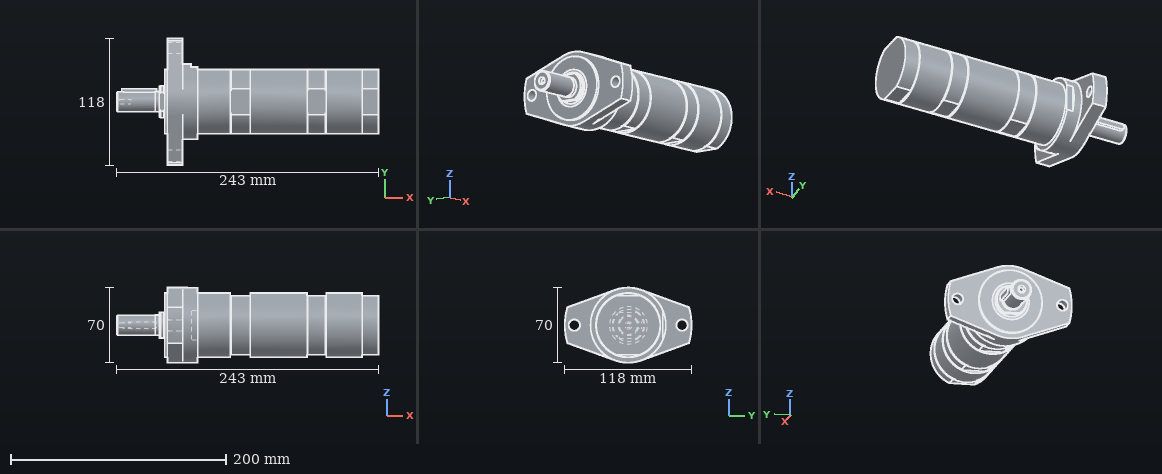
import cadquery as cq
import math

SEAL_SEAT_X = 35.9
COLLAR_X = 39.6
SPIGOT_X = 44.3
FLANGE_X = 47.0
HUB_X = 61.0
HUB_NOTCH_X = 69.0
BODY_X = 75.0
OVERALL_LENGTH = 243.0

SHAFT_DIAMETER = 18.8
SEAL_SEAT_DIAMETER = 19.0
SHAFT_CHAMFER = 1.0
CENTER_MOUTH_DIAMETER = 6.8
CENTER_HOLE_DIAMETER = 4.13
CENTER_HOLE_DEPTH = 12.5
COUNTERSINK_ANGLE_DEG = 60.0
DRILL_POINT_ANGLE_DEG = 118.0

KEY_START_X = 4.5
KEY_END_X = 37.0
KEY_WIDTH = 6.0
KEY_HEIGHT = 6.0
KEY_TOP_Y = 12.0

COLLAR_DIAMETER = 29.95
COLLAR_CHAMFER_LENGTH = 1.4
COLLAR_CHAMFER_DEPTH = 0.8
COLLAR_FLAT_Z = 12.1
COLLAR_GROOVE_WIDTH = 0.7
COLLAR_GROOVE_DEPTH = 0.5
RECESS_DIAMETER = 35.0
RECESS_DEPTH = 0.2

HUB_RADIUS = 35.0
FLANGE_END_RADIUS = 59.0
FLANGE_TAPER_DEG = 20.0
BOLT_OFFSET = 50.0
BOLT_HOLE_DIAMETER = 10.3
HUB_NOTCH_Y = 32.2

BODY_DIAMETER = 60.0
FLAT_Z = 27.5
FLAT_SPANS = [(105.5, 123.7), (176.7, 194.3), (227.7, OVERALL_LENGTH)]
GROOVE_DEPTH = 0.5
GROOVE_WIDTH = 0.7
NARROW_GROOVE_WIDTH = 0.3
GROOVES = [
    (FLAT_SPANS[0][0], GROOVE_WIDTH),
    (FLAT_SPANS[0][1], NARROW_GROOVE_WIDTH),
    (FLAT_SPANS[1][0], GROOVE_WIDTH),
    (FLAT_SPANS[1][1] - GROOVE_WIDTH, GROOVE_WIDTH),
    (FLAT_SPANS[2][0], NARROW_GROOVE_WIDTH),
]


def x_cylinder(diameter, start, end):
    """Cylinder on the X axis between two stations."""
    return cq.Workplane("YZ", origin=(start, 0, 0)).circle(diameter / 2).extrude(end - start)


def flat_cutters(start, end, height, diameter):
    """Two blocks that cut flats at Z = +height and Z = -height."""
    depth = diameter / 2
    blocks = cq.Workplane("XY")
    for side in (1, -1):
        center = ((start + end) / 2, 0, side * (height + depth / 2))
        blocks = blocks.union(cq.Workplane("XY", origin=center).box(end - start, 2 * diameter, depth))
    return blocks


def ring(diameter, depth, start, width):
    """Ring that cuts a groove of the given depth into a cylinder."""
    outer = x_cylinder(diameter + 2 * depth, start, start + width)
    return outer.cut(x_cylinder(diameter - 2 * depth, start, start + width))


def make_shaft():
    straight = x_cylinder(SHAFT_DIAMETER, 0, SEAL_SEAT_X).faces("<X").chamfer(SHAFT_CHAMFER)
    return straight.union(x_cylinder(SEAL_SEAT_DIAMETER, SEAL_SEAT_X, COLLAR_X))


def make_key():
    length = KEY_END_X - KEY_START_X
    middle = (KEY_START_X + KEY_END_X) / 2
    base = cq.Workplane("XZ", origin=(middle, KEY_TOP_Y, 0))
    return base.slot2D(length, KEY_WIDTH).extrude(KEY_HEIGHT)


def make_center_hole():
    """Blind hole in the shaft end with a countersunk mouth and a drill point."""
    mouth = CENTER_MOUTH_DIAMETER / 2
    bore = CENTER_HOLE_DIAMETER / 2
    countersink_depth = (mouth - bore) / math.tan(math.radians(COUNTERSINK_ANGLE_DEG / 2))
    tip_depth = bore / math.tan(math.radians(DRILL_POINT_ANGLE_DEG / 2))
    profile = (
        cq.Workplane("XY")
        .polyline([
            (0, 0),
            (0, mouth),
            (countersink_depth, bore),
            (CENTER_HOLE_DEPTH, bore),
            (CENTER_HOLE_DEPTH + tip_depth, 0),
        ])
        .close()
    )
    return profile.revolve(360, (0, 0, 0), (1, 0, 0))


def make_collar():
    front_cone = (
        cq.Workplane("YZ", origin=(COLLAR_X + COLLAR_CHAMFER_LENGTH, 0, 0))
        .circle(COLLAR_DIAMETER / 2)
        .workplane(offset=-COLLAR_CHAMFER_LENGTH)
        .circle(COLLAR_DIAMETER / 2 - COLLAR_CHAMFER_DEPTH)
        .loft()
    )
    collar = x_cylinder(COLLAR_DIAMETER, COLLAR_X + COLLAR_CHAMFER_LENGTH, FLANGE_X).union(front_cone)
    groove_start = SPIGOT_X - COLLAR_GROOVE_WIDTH
    collar = collar.cut(ring(COLLAR_DIAMETER, COLLAR_GROOVE_DEPTH, groove_start, COLLAR_GROOVE_WIDTH))
    return collar.cut(flat_cutters(COLLAR_X, SPIGOT_X, COLLAR_FLAT_Z, COLLAR_DIAMETER))


def make_spigot():
    spigot = x_cylinder(BODY_DIAMETER, SPIGOT_X, FLANGE_X)
    return spigot.cut(x_cylinder(RECESS_DIAMETER, SPIGOT_X, SPIGOT_X + RECESS_DEPTH))


def flange_corner():
    """Point where a tapered side, tangent to the hub, meets the rounded end of the plate."""
    taper = math.radians(FLANGE_TAPER_DEG)
    corner_angle = math.pi / 2 - taper - math.acos(HUB_RADIUS / FLANGE_END_RADIUS)
    return FLANGE_END_RADIUS * math.cos(corner_angle), FLANGE_END_RADIUS * math.sin(corner_angle)


def make_ear_plate():
    """Plate with sides tangent to the hub, rounded ends and two bolt holes."""
    taper = math.radians(FLANGE_TAPER_DEG)
    tangent_y = HUB_RADIUS * math.sin(taper)
    tangent_z = HUB_RADIUS * math.cos(taper)
    corner_y, corner_z = flange_corner()
    outline = (
        cq.Workplane("YZ", origin=(FLANGE_X, 0, 0))
        .moveTo(-tangent_y, tangent_z)
        .lineTo(tangent_y, tangent_z)
        .lineTo(corner_y, corner_z)
        .threePointArc((FLANGE_END_RADIUS, 0), (corner_y, -corner_z))
        .lineTo(tangent_y, -tangent_z)
        .lineTo(-tangent_y, -tangent_z)
        .lineTo(-corner_y, -corner_z)
        .threePointArc((-FLANGE_END_RADIUS, 0), (-corner_y, corner_z))
        .close()
    )
    plate = outline.extrude(HUB_X - FLANGE_X)
    holes = (
        cq.Workplane("YZ", origin=(FLANGE_X, 0, 0))
        .pushPoints([(-BOLT_OFFSET, 0), (BOLT_OFFSET, 0)])
        .circle(BOLT_HOLE_DIAMETER / 2)
        .extrude(HUB_X - FLANGE_X)
    )
    return plate.cut(holes)


def make_flange():
    """Round hub with two bolt ears and a flat on the rear of its +Y side."""
    hub = x_cylinder(2 * HUB_RADIUS, FLANGE_X, BODY_X)
    center = ((HUB_NOTCH_X + BODY_X) / 2, HUB_NOTCH_Y + HUB_RADIUS / 2, 0)
    notch = cq.Workplane("XY", origin=center).box(BODY_X - HUB_NOTCH_X, HUB_RADIUS, 2 * HUB_RADIUS)
    return hub.cut(notch).union(make_ear_plate()).clean()


def make_body():
    body = x_cylinder(BODY_DIAMETER, BODY_X, OVERALL_LENGTH)
    for start, end in FLAT_SPANS:
        body = body.cut(flat_cutters(start, end, FLAT_Z, BODY_DIAMETER))
    for start, width in GROOVES:
        body = body.cut(ring(BODY_DIAMETER, GROOVE_DEPTH, start, width))
    return body


result = (
    make_shaft()
    .union(make_key())
    .cut(make_center_hole())
    .union(make_spigot())
    .union(make_collar())
    .union(make_flange())
    .union(make_body())
)